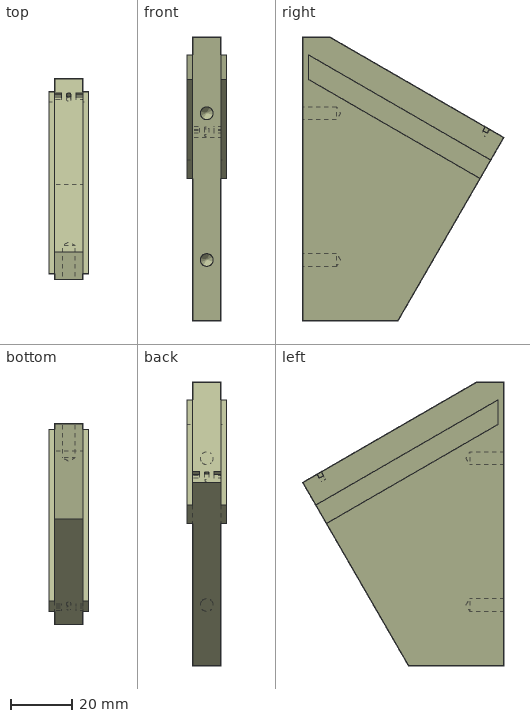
import cadquery as cq
import math

HEIGHT = 93.0
DEPTH = 65.9
PLATE_THICKNESS = 9.3
TOP_FLAT = 9.0
SLOPE_ANGLE = 30.0

OVERALL_WIDTH = 13.0
RAIL_OFFSET = 8.6
RAIL_WIDTH = 7.0
RAIL_SETBACK = 1.95

HOLE_DIAMETER = 4.2
HOLE_DEPTH = 11.2
DRILL_POINT_ANGLE = 118.0
HOLE_HEIGHTS = (20.0, 68.1)

NOTCH_DISTANCE = 6.2
NOTCH_LENGTH = 1.7
NOTCH_REACH = 2.2
NOTCH_DEPTH = 1.5
PIN_DIAMETER = 1.5
PIN_DEPTH = 2.8

slope = math.radians(SLOPE_ANGLE)
tip_z = HEIGHT - (DEPTH - TOP_FLAT) * math.tan(slope)
bottom_length = DEPTH - tip_z * math.tan(slope)


def point_from_tip(along, below):
    """YZ point a distance along the sloping edge and square below it."""
    y = DEPTH - along * math.cos(slope) - below * math.sin(slope)
    z = tip_z + along * math.sin(slope) - below * math.cos(slope)
    return y, z


def point_on_rail_front(below):
    """YZ point on the vertical rail end, square below the sloping edge line."""
    edge_z = tip_z + (DEPTH - RAIL_SETBACK) * math.tan(slope)
    return RAIL_SETBACK, edge_z - below / math.cos(slope)


def extrude_across(points, width):
    """Extrude a YZ outline symmetrically about X = 0."""
    return cq.Workplane("YZ").polyline(points).close().extrude(width / 2, both=True)


def make_plate():
    outline = [(0, 0), (bottom_length, 0), (DEPTH, tip_z), (TOP_FLAT, HEIGHT), (0, HEIGHT)]
    return extrude_across(outline, PLATE_THICKNESS)


def make_rails():
    rail_bottom = RAIL_OFFSET + RAIL_WIDTH
    outline = [
        point_on_rail_front(RAIL_OFFSET),
        point_from_tip(0, RAIL_OFFSET),
        point_from_tip(0, rail_bottom),
        point_on_rail_front(rail_bottom),
    ]
    return extrude_across(outline, OVERALL_WIDTH)


def make_drilled_hole(z):
    radius = HOLE_DIAMETER / 2
    point_length = radius / math.tan(math.radians(DRILL_POINT_ANGLE / 2))
    profile = [(0, 0), (radius, 0), (radius, HOLE_DEPTH), (0, HOLE_DEPTH + point_length)]
    hole = cq.Workplane("XY").polyline(profile).close().revolve(360, (0, 0, 0), (0, 1, 0))
    return hole.translate((0, 0, z))


def make_edge_cuts():
    y, z = point_from_tip(NOTCH_DISTANCE, 0)
    edge_plane = cq.Plane(
        origin=(0, y, z), xDir=(1, 0, 0), normal=(0, math.sin(slope), math.cos(slope))
    )
    notch_x = (PLATE_THICKNESS - NOTCH_REACH) / 2
    notches = (
        cq.Workplane(edge_plane)
        .pushPoints([(-notch_x, 0), (notch_x, 0)])
        .rect(NOTCH_REACH, NOTCH_LENGTH)
        .extrude(-NOTCH_DEPTH)
    )
    pin_hole = cq.Workplane(edge_plane).circle(PIN_DIAMETER / 2).extrude(-PIN_DEPTH)
    return notches.union(pin_hole)


result = make_plate().union(make_rails())
for hole_z in HOLE_HEIGHTS:
    result = result.cut(make_drilled_hole(hole_z))
result = result.cut(make_edge_cuts())